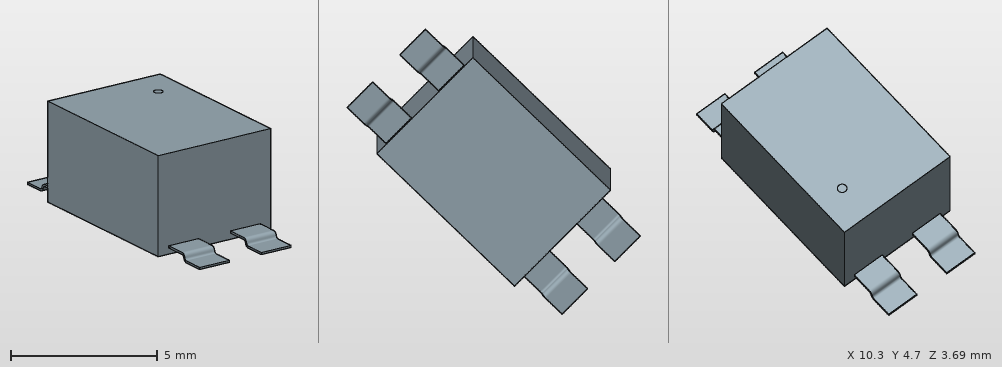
import cadquery as cq
import math

overall_length = 10.31
housing_length = 6.61
housing_width = 4.7
housing_height = 3.69

lead_width = 1.25
lead_pitch = 2.58
lead_thickness = 0.077
lead_top = 0.31
foot_length = 0.78
inner_radius = 0.09
bend_angle = math.radians(72)

mark_diameter = 0.33
mark_depth = 0.05
mark_from_end = 1.39
mark_from_side = 1.05

outer_radius = inner_radius + lead_thickness
bend_rise = lead_top - lead_thickness
slope_rise = bend_rise - (inner_radius + outer_radius) * (1 - math.cos(bend_angle))
slope_run = slope_rise / math.tan(bend_angle)
bend_run = (inner_radius + outer_radius) * math.sin(bend_angle) + slope_run

mark_x = -housing_length / 2 + mark_from_end
mark_y = housing_width / 2 - mark_from_side


def make_mark():
    """Disc that fills the recess in the top of the housing."""
    return (
        cq.Workplane("XY", origin=(mark_x, mark_y, housing_height - mark_depth))
        .circle(mark_diameter / 2)
        .extrude(mark_depth)
    )


def make_housing(mark):
    """Plain block with a recess for the polarity mark."""
    block = cq.Workplane("XY").box(
        housing_length, housing_width, housing_height, centered=(True, True, False)
    )
    return block.cut(mark)


def make_lead(center_y):
    """Lead on the -X end: flat foot, S-bend, and shoulder butting on the housing."""
    tip_x = -overall_length / 2
    housing_x = -housing_length / 2
    bend_start = tip_x + foot_length
    bend_end = bend_start + bend_run
    shoulder_bottom = lead_top - lead_thickness

    def arc_offset(radius):
        """Horizontal and vertical distance covered by a bend arc."""
        return radius * math.sin(bend_angle), radius * (1 - math.cos(bend_angle))

    inner_run, inner_rise = arc_offset(inner_radius)
    outer_run, outer_rise = arc_offset(outer_radius)

    upper_slope_start = (bend_start + inner_run, lead_thickness + inner_rise)
    upper_slope_end = (bend_end - outer_run, lead_top - outer_rise)
    lower_slope_start = (bend_start + outer_run, outer_rise)
    lower_slope_end = (bend_end - inner_run, shoulder_bottom - inner_rise)

    profile = (
        cq.Workplane("XZ", origin=(0, center_y + lead_width / 2, 0))
        .moveTo(tip_x, lead_thickness)
        .lineTo(bend_start, lead_thickness)
        .tangentArcPoint(upper_slope_start, relative=False)
        .lineTo(*upper_slope_end)
        .tangentArcPoint((bend_end, lead_top), relative=False)
        .lineTo(housing_x, lead_top)
        .lineTo(housing_x, shoulder_bottom)
        .lineTo(bend_end, shoulder_bottom)
        .tangentArcPoint(lower_slope_end, relative=False)
        .lineTo(*lower_slope_start)
        .tangentArcPoint((bend_start, 0), relative=False)
        .lineTo(tip_x, 0)
        .close()
    )
    return profile.extrude(lead_width)


mark = make_mark()
housing = make_housing(mark)

leads = []
for center_y in (-lead_pitch / 2, lead_pitch / 2):
    lead = make_lead(center_y)
    leads.append(lead.val())
    leads.append(lead.mirror("YZ").val())

result = cq.Compound.makeCompound([housing.val(), mark.val(), *leads])